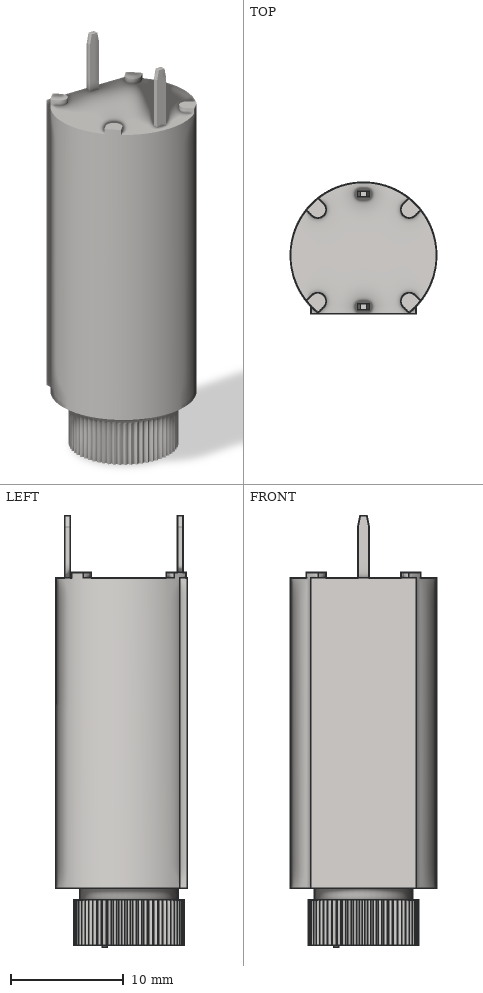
import cadquery as cq
import math

overall_height = 38.3
body_diameter = 13.0
overall_depth = 11.7

body_radius = body_diameter / 2
body_height = 27.55
flat_width = 9.35
flat_y = body_radius - overall_depth

neck_diameter = 8.75
neck_height = 1.05
knob_radius = 4.9
knob_height = 4.02
tooth_count = 60
tooth_depth = 0.25

pin_length = 5.5
pin_width = 1.0
pin_thickness = 0.5
pin_tip_width = 0.6
pin_taper_length = 0.95
back_pin_y = 5.45
pin_spacing = 10.0

foot_height = 0.5
foot_width = 1.5
foot_reach = 5.75
foot_angles = (45, 135, 225, 315)

pip_diameter = 0.45
pip_x = -2.4
pip_y = 2.15
pip_height = overall_height - pin_length - body_height - neck_height - knob_height

knob_top = -neck_height
knob_bottom = knob_top - knob_height


def make_body():
    """Barrel cut off at the mounting flat, with a block squaring the flat's edges."""
    barrel = cq.Workplane("XY").circle(body_radius).extrude(body_height)
    behind_flat = (
        cq.Workplane("XY")
        .box(2 * body_diameter, 2 * body_diameter, body_height, centered=(True, False, False))
        .translate((0, flat_y, 0))
    )
    flat_block = (
        cq.Workplane("XY")
        .box(flat_width, -flat_y, body_height, centered=(True, False, False))
        .translate((0, flat_y, 0))
    )
    return barrel.intersect(behind_flat).union(flat_block)


def make_neck():
    return cq.Workplane("XY").circle(neck_diameter / 2).extrude(-neck_height)


def make_knob():
    """Knob with V-shaped teeth all around; the first crest sits a quarter pitch past +X."""
    half_pitch = math.pi / tooth_count
    outline = []
    for i in range(2 * tooth_count):
        radius = knob_radius - tooth_depth * (i % 2)
        angle = (i + 0.5) * half_pitch
        outline.append((radius * math.cos(angle), radius * math.sin(angle)))
    base_plane = cq.Workplane("XY").workplane(offset=knob_bottom)
    return base_plane.polyline(outline).close().extrude(knob_height)


def make_pin(y):
    """Flat pin, narrowing in width towards its tip."""
    shoulder = body_height + pin_length - pin_taper_length
    tip = body_height + pin_length
    outline = [
        (-pin_width / 2, body_height),
        (pin_width / 2, body_height),
        (pin_width / 2, shoulder),
        (pin_tip_width / 2, tip),
        (-pin_tip_width / 2, tip),
        (-pin_width / 2, shoulder),
    ]
    pin = cq.Workplane("XZ").polyline(outline).close().extrude(pin_thickness / 2, both=True)
    return pin.translate((0, y, 0))


def make_foot(angle):
    """Foot with a rounded inner end and an outer face flush with the barrel."""
    half = foot_width / 2
    top_plane = cq.Workplane("XY").workplane(offset=body_height)
    foot = (
        top_plane.moveTo(body_radius, half)
        .lineTo(foot_reach, half)
        .threePointArc((foot_reach - half, 0), (foot_reach, -half))
        .lineTo(body_radius, -half)
        .close()
        .extrude(foot_height)
        .rotate((0, 0, 0), (0, 0, 1), angle)
    )
    return foot.intersect(top_plane.circle(body_radius).extrude(foot_height))


def make_pip():
    return (
        cq.Workplane("XY")
        .workplane(offset=knob_bottom)
        .center(pip_x, pip_y)
        .circle(pip_diameter / 2)
        .extrude(-pip_height)
    )


result = make_body().union(make_neck()).union(make_knob()).union(make_pip())
for pin_y in (back_pin_y, back_pin_y - pin_spacing):
    result = result.union(make_pin(pin_y))
for foot_angle in foot_angles:
    result = result.union(make_foot(foot_angle))